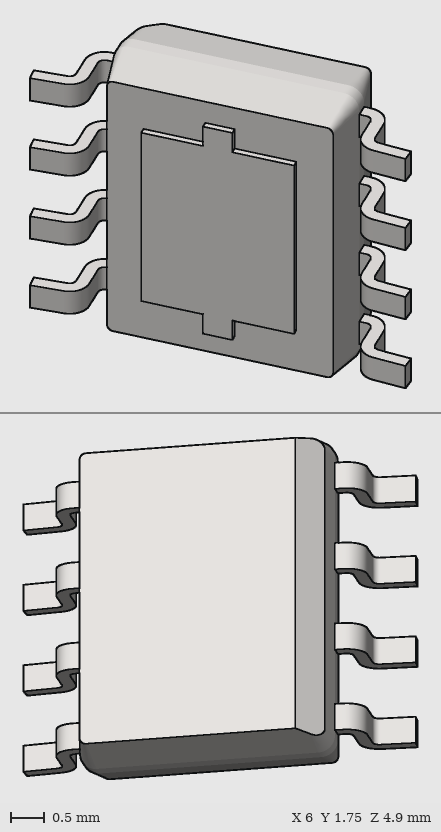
import cadquery as cq
import math


SPAN = 6.0
HEIGHT = 1.75
LENGTH = 4.9

HOUSING_WIDTH = 3.9
CORNER_RADIUS = 0.25
DRAFT_ANGLE = 12.0
INDEX_CHAMFER = 0.445

LEADS_PER_SIDE = 4
LEAD_PITCH = 1.27
LEAD_WIDTH = 0.415
LEAD_THICKNESS = 0.21
BEND_INNER = 0.1
BEND_OUTER = BEND_INNER + LEAD_THICKNESS
FOOT_ANGLE = 4.0
LEAD_REACH = 0.835

PAD_WIDTH = 2.43
PAD_LENGTH = 3.1
PAD_THICKNESS = 0.1
TAB_WIDTH = 0.47
TAB_TO_TAB = 3.815

HALF_DEPTH = (HEIGHT - PAD_THICKNESS - LEAD_THICKNESS) / 2
BAND_FRONT = PAD_THICKNESS + HALF_DEPTH
BAND_BACK = BAND_FRONT + LEAD_THICKNESS


def housing_slab(start_y, depth, draft=0.0):
    """Rounded-corner block from start_y; a negative depth goes toward the board."""
    outline = (
        cq.Sketch()
        .rect(HOUSING_WIDTH, LENGTH)
        .vertices()
        .fillet(CORNER_RADIUS)
    )
    return (
        cq.Workplane("XZ", origin=(0, start_y, 0))
        .placeSketch(outline)
        .extrude(-depth, taper=draft)
    )


def make_housing():
    band = housing_slab(BAND_FRONT, LEAD_THICKNESS)
    front_half = housing_slab(BAND_FRONT, -HALF_DEPTH, DRAFT_ANGLE)
    back_half = housing_slab(BAND_BACK, HALF_DEPTH, DRAFT_ANGLE)
    body = band.union(front_half).union(back_half)

    side_x = -HOUSING_WIDTH / 2
    index_wedge = (
        cq.Workplane("XY", origin=(0, 0, -LENGTH / 2))
        .moveTo(side_x, HEIGHT)
        .lineTo(side_x + INDEX_CHAMFER, HEIGHT)
        .lineTo(side_x, HEIGHT - INDEX_CHAMFER)
        .close()
        .extrude(LENGTH)
    )
    return body.cut(index_wedge)


def make_pad():
    pad_plane = cq.Workplane("XZ", origin=(0, PAD_THICKNESS, 0))
    plate = pad_plane.rect(PAD_WIDTH, PAD_LENGTH).extrude(PAD_THICKNESS)
    tabs = pad_plane.rect(TAB_WIDTH, TAB_TO_TAB).extrude(PAD_THICKNESS)
    return plate.union(tabs)


def on_arc(center, radius, degrees):
    angle = math.radians(degrees)
    return (center[0] + radius * math.cos(angle), center[1] + radius * math.sin(angle))


def make_left_lead(center_z):
    """Gull-wing lead on the -X side, from the housing band down to the toe."""
    foot_sine = math.sin(math.radians(FOOT_ANGLE))
    foot_cosine = math.cos(math.radians(FOOT_ANGLE))
    root_x = -HOUSING_WIDTH / 2
    riser_inner_x = -SPAN / 2 + LEAD_REACH
    riser_outer_x = riser_inner_x - LEAD_THICKNESS

    toe_low = (-SPAN / 2 + LEAD_THICKNESS * foot_sine, 0)
    toe_top = (-SPAN / 2, LEAD_THICKNESS * foot_cosine)

    shoulder = (riser_inner_x + BEND_INNER, BAND_BACK - BEND_OUTER)
    ankle_x = riser_inner_x - BEND_OUTER
    sole_end_x = ankle_x + BEND_OUTER * foot_sine
    sole_rise = (sole_end_x - toe_low[0]) * foot_sine / foot_cosine
    ankle = (ankle_x, sole_rise + BEND_OUTER * foot_cosine)

    sole_end = FOOT_ANGLE - 90
    ankle_middle = sole_end / 2

    profile = (
        cq.Workplane("XY", origin=(0, 0, center_z - LEAD_WIDTH / 2))
        .moveTo(root_x, BAND_BACK)
        .lineTo(shoulder[0], BAND_BACK)
        .threePointArc(on_arc(shoulder, BEND_OUTER, 135), (riser_outer_x, shoulder[1]))
        .lineTo(riser_outer_x, ankle[1])
        .threePointArc(on_arc(ankle, BEND_INNER, ankle_middle), on_arc(ankle, BEND_INNER, sole_end))
        .lineTo(*toe_top)
        .lineTo(*toe_low)
        .lineTo(*on_arc(ankle, BEND_OUTER, sole_end))
        .threePointArc(on_arc(ankle, BEND_OUTER, ankle_middle), (riser_inner_x, ankle[1]))
        .lineTo(riser_inner_x, shoulder[1])
        .threePointArc(on_arc(shoulder, BEND_INNER, 135), (shoulder[0], BAND_FRONT))
        .lineTo(root_x, BAND_FRONT)
        .close()
    )
    return profile.extrude(LEAD_WIDTH)


housing = make_housing()
thermal_pad = make_pad()

leads = []
for index in range(LEADS_PER_SIDE):
    lead_z = (index - (LEADS_PER_SIDE - 1) / 2) * LEAD_PITCH
    left_lead = make_left_lead(lead_z)
    right_lead = left_lead.mirror("YZ")
    leads += [left_lead.val(), right_lead.val()]

result = cq.Compound.makeCompound([housing.val(), thermal_pad.val(), *leads])